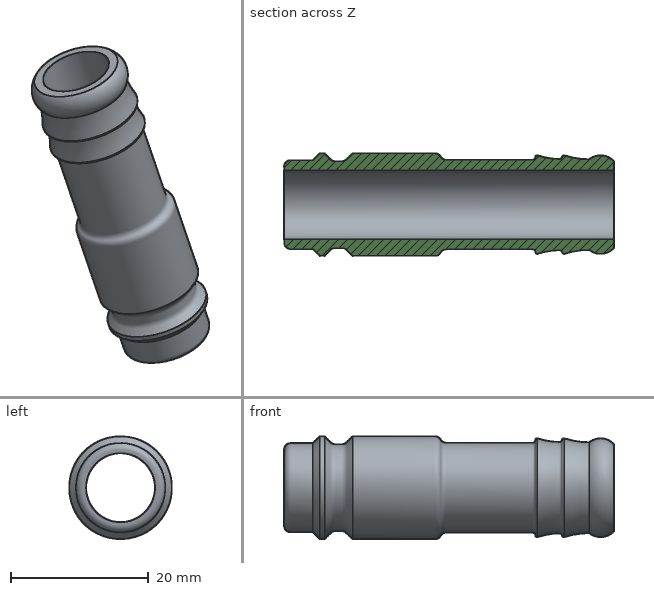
import cadquery as cq
import math

length = 48.0
bore_radius = 10.0 / 2
outer_radius = 15.0 / 2
nose_radius = 13.0 / 2
groove_radius = 12.65 / 2
pipe_radius = 13.1 / 2

nose_round = 1.0
collar_start = 4.2
collar_crest_end = 5.9

flank_angle = math.radians(45)
groove_blend = 1.0

sleeve_start = 10.0
sleeve_end = 22.0
shoulder_blend = 0.9

barb_radius = 7.2
barb_round = 0.35
first_barb_start = 36.2
second_barb_start = 40.1
first_barb_tail_radius = 6.65
lip_start = 44.4
lip_neck_radius = 6.6
lip_crest = 46.05


def arc_step(angle, radius):
    """Return axial run and radial rise of an arc leaving the axial direction by the angle."""
    return radius * math.sin(angle), radius * (1 - math.cos(angle))


def add_nose_and_collar(profile):
    """Rounded nose followed by the front slope and flat crest of the collar."""
    collar_crest_start = collar_start + outer_radius - nose_radius
    return (
        profile.lineTo(0, nose_radius - nose_round)
        .radiusArc((nose_round, nose_radius), nose_round)
        .lineTo(collar_start, nose_radius)
        .lineTo(collar_crest_start, outer_radius)
        .lineTo(collar_crest_end, outer_radius)
    )


def add_groove(profile):
    """Groove with two sloping flanks, blend arcs and a flat floor."""
    blend_run, blend_rise = arc_step(flank_angle, groove_blend)
    blend_top = groove_radius + blend_rise
    flank_run = (outer_radius - blend_top) / math.tan(flank_angle)
    floor_start = collar_crest_end + flank_run + blend_run
    floor_end = sleeve_start - flank_run - blend_run
    return (
        profile.lineTo(collar_crest_end + flank_run, blend_top)
        .radiusArc((floor_start, groove_radius), -groove_blend)
        .lineTo(floor_end, groove_radius)
        .radiusArc((sleeve_start - flank_run, blend_top), -groove_blend)
        .lineTo(sleeve_start, outer_radius)
    )


def add_step(profile, start, start_radius, end_radius, blend):
    """S-shaped step of two equal, opposite arcs; return the profile and the end of the step."""
    half_change = (end_radius - start_radius) / 2
    step_angle = math.acos(1 - abs(half_change) / blend)
    half_run, _ = arc_step(step_angle, blend)
    end = start + 2 * half_run
    first_bend = -math.copysign(blend, half_change)
    profile = (
        profile.radiusArc((start + half_run, start_radius + half_change), first_bend)
        .radiusArc((end, end_radius), -first_bend)
    )
    return profile, end


def add_sleeve_and_pipe(profile):
    """Cylindrical sleeve, its S-shaped shoulder and the pipe up to the first barb."""
    profile = profile.lineTo(sleeve_end, outer_radius)
    profile, _ = add_step(profile, sleeve_end, outer_radius, pipe_radius, shoulder_blend)
    return profile.lineTo(first_barb_start, pipe_radius)


def add_barb(profile, start, base_radius, end, tail_radius):
    """Barb with a rounded step and a hollow back that runs out parallel to the axis."""
    profile, crest = add_step(profile, start, base_radius, barb_radius, barb_round)
    back_run = end - crest
    back_drop = barb_radius - tail_radius
    back_arc = (back_run**2 + back_drop**2) / (2 * back_drop)
    return profile.radiusArc((end, tail_radius), -back_arc)


def add_lip(profile):
    """Bulging end lip: one arc from the neck over the crest to the end face, then the end face."""
    neck_run = lip_crest - lip_start
    end_run = length - lip_crest
    neck_drop = barb_radius - lip_neck_radius
    lip_arc = (neck_run**2 + neck_drop**2) / (2 * neck_drop)
    end_radius = barb_radius - lip_arc + math.sqrt(lip_arc**2 - end_run**2)
    return (
        profile.radiusArc((length, end_radius), lip_arc)
        .lineTo(length, bore_radius)
    )


profile = cq.Workplane("XY").moveTo(0, bore_radius)
profile = add_nose_and_collar(profile)
profile = add_groove(profile)
profile = add_sleeve_and_pipe(profile)
profile = add_barb(profile, first_barb_start, pipe_radius, second_barb_start, first_barb_tail_radius)
profile = add_barb(profile, second_barb_start, first_barb_tail_radius, lip_start, lip_neck_radius)
profile = add_lip(profile)

result = profile.close().revolve(360, (0, 0, 0), (1, 0, 0))